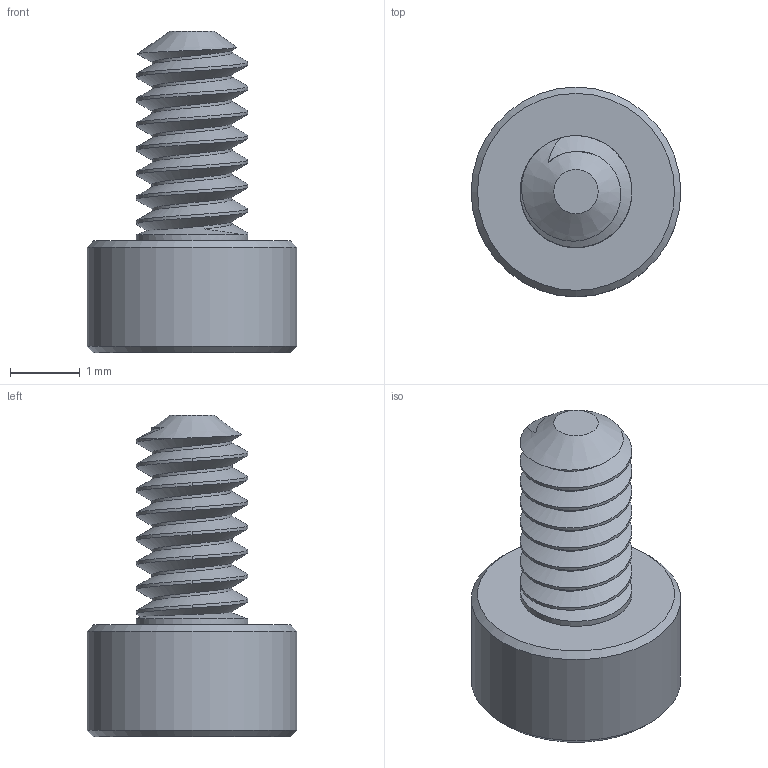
import cadquery as cq
import math


HEAD_DIAMETER = 3.0
HEAD_HEIGHT = 1.6
HEAD_CHAMFER = 0.09

THREAD_DIAMETER = 1.6
SHANK_LENGTH = 3.0
TIP_FLAT_DIAMETER = 0.635
TIP_CONE_ANGLE = 35.0
SHANK_SEAM_ANGLE = 180.0

PITCH = 0.35
FLANK_ANGLE = 30.0
CREST_WIDTH = PITCH / 8
ROOT_WIDTH = PITCH / 8
GROOVE_HEIGHT_AT_X = 0.263
CUTTER_OVERSHOOT = 0.03

COLLAR_HEIGHT = PITCH / 4
COLLAR_CONE_ANGLE = 20.0

head_radius = HEAD_DIAMETER / 2
thread_radius = THREAD_DIAMETER / 2
flank_slope = math.tan(math.radians(FLANK_ANGLE))
groove_depth = (PITCH - CREST_WIDTH - ROOT_WIDTH) / 2 / flank_slope
root_radius = thread_radius - groove_depth


def make_head():
    """Plain round head with both rims chamfered at 45 degrees."""
    rim_radius = head_radius - HEAD_CHAMFER
    return (
        cq.Workplane("XZ")
        .moveTo(0, -HEAD_HEIGHT)
        .lineTo(rim_radius, -HEAD_HEIGHT)
        .lineTo(head_radius, -HEAD_HEIGHT + HEAD_CHAMFER)
        .lineTo(head_radius, -HEAD_CHAMFER)
        .lineTo(rim_radius, 0)
        .lineTo(0, 0)
        .close()
        .revolve(360, (0, 0), (0, 1))
    )


def make_shank_blank():
    """Unthreaded shank with a conical tip that ends in a flat."""
    tip_flat_radius = TIP_FLAT_DIAMETER / 2
    tip_height = (thread_radius - tip_flat_radius) * math.tan(math.radians(TIP_CONE_ANGLE))
    return (
        cq.Workplane("XZ")
        .lineTo(thread_radius, 0)
        .lineTo(thread_radius, SHANK_LENGTH - tip_height)
        .lineTo(tip_flat_radius, SHANK_LENGTH)
        .lineTo(0, SHANK_LENGTH)
        .close()
        .revolve(360, (0, 0), (0, 1))
        .rotate((0, 0, 0), (0, 0, 1), SHANK_SEAM_ANGLE)
    )


def make_groove_cutter():
    """Trapezoidal groove swept along a helix that runs out past both ends of the shank."""
    start_height = GROOVE_HEIGHT_AT_X - PITCH
    turns = math.ceil((SHANK_LENGTH - start_height) / PITCH)
    outer_radius = thread_radius + CUTTER_OVERSHOOT
    root_half_width = ROOT_WIDTH / 2
    outer_half_width = root_half_width + (outer_radius - root_radius) * flank_slope
    helix = cq.Wire.makeHelix(PITCH, turns * PITCH, thread_radius, cq.Vector(0, 0, start_height))
    return (
        cq.Workplane("XZ")
        .moveTo(root_radius, start_height - root_half_width)
        .lineTo(outer_radius, start_height - outer_half_width)
        .lineTo(outer_radius, start_height + outer_half_width)
        .lineTo(root_radius, start_height + root_half_width)
        .close()
        .sweep(cq.Workplane(helix), isFrenet=True)
    )


def make_collar():
    """Full-diameter collar whose top slopes up as a cone into the thread core."""
    cone_height = thread_radius * math.tan(math.radians(COLLAR_CONE_ANGLE))
    return (
        cq.Workplane("XZ")
        .lineTo(thread_radius, 0)
        .lineTo(thread_radius, COLLAR_HEIGHT)
        .lineTo(0, COLLAR_HEIGHT + cone_height)
        .close()
        .revolve(360, (0, 0), (0, 1))
    )


threaded_shank = make_shank_blank().cut(make_groove_cutter())
result = threaded_shank.union(make_collar()).union(make_head())